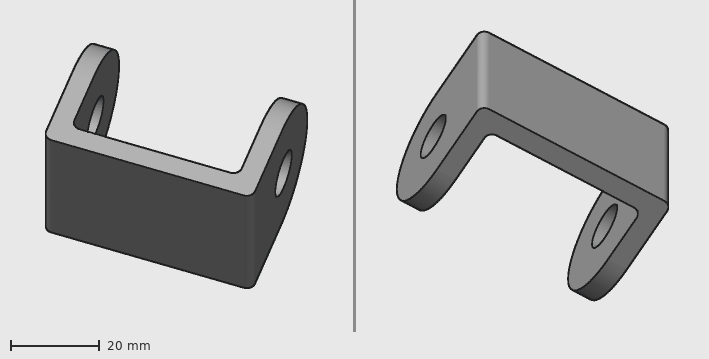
import cadquery as cq

width = 50.0
depth = 37.0
height = 35.0

wall = 5.0
bend_radius = 2.0

hole_diameter = 11.0
hole_from_back = 21.0

ear_radius = height / 2
ear_center_y = depth - ear_radius


def make_channel():
    """U-shaped channel with its back plate on y = 0, centred on X and Z."""
    block = (
        cq.Workplane("XY")
        .box(width, depth, height, centered=(True, False, True))
        .edges("|Z and <Y")
        .fillet(bend_radius)
    )
    gap = (
        cq.Workplane("XY")
        .box(width - 2 * wall, depth, height, centered=(True, False, True))
        .edges("|Z and <Y")
        .fillet(bend_radius)
        .translate((0, wall, 0))
    )
    return block.cut(gap)


def make_ear_envelope():
    """Side outline of the bracket with fully rounded ear ends, along X."""
    return (
        cq.Workplane("YZ")
        .moveTo(0, -height / 2)
        .lineTo(ear_center_y, -height / 2)
        .threePointArc((depth, 0), (ear_center_y, height / 2))
        .lineTo(0, height / 2)
        .close()
        .extrude(width / 2, both=True)
    )


def make_pin():
    """Cylinder along X that cuts the pin hole in both ears."""
    return (
        cq.Workplane("YZ")
        .center(hole_from_back, 0)
        .circle(hole_diameter / 2)
        .extrude(width / 2, both=True)
    )


result = make_channel().intersect(make_ear_envelope()).cut(make_pin())